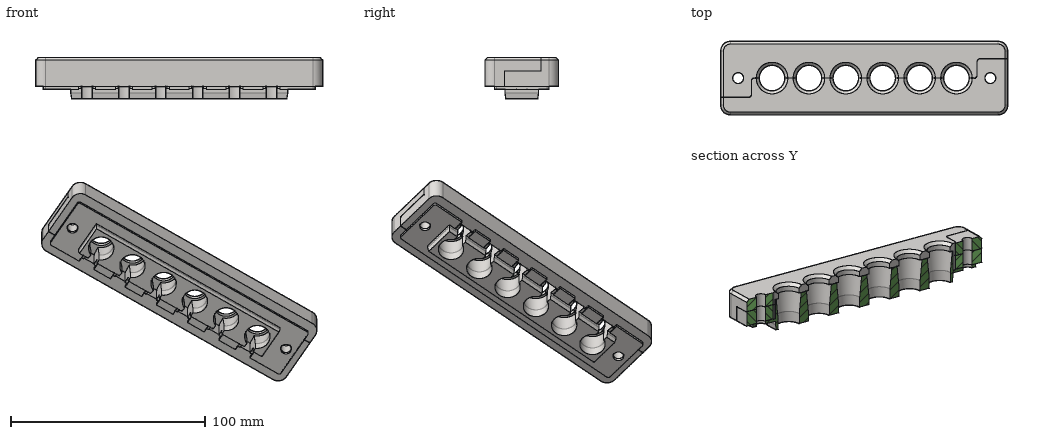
import cadquery as cq
import math

HOUSING_LENGTH = 148.0
HOUSING_WIDTH = 38.0
HOUSING_HEIGHT = 15.0
HOUSING_CORNER_RADIUS = 5.0
TOP_CHAMFER = 1.5

LAP_START = 58.2
LAP_DEPTH = 7.0
UPPER_LAP = 9.9
LOWER_LAP = 8.9
LAP_CORNER_RADIUS = 1.5
SEAM_GAP = 0.1

SCREW_HOLE_DIAMETER = 5.5
SCREW_HOLE_OFFSET = 65.0

BORE_COUNT = 6
BORE_SPAN = 95.0
BORE_RADIUS = 6.5
BORE_CHAMFER = 1.6
CHAMFER_CONE_ANGLE = 90

INSERT_TOP_DEPTH = 4.3
INSERT_LENGTH = 111.9
INSERT_WIDTH = 24.0
INSERT_DROP = 1.2
FLARE_RADIUS = 7.7
FLARE_MID_INSET = 0.1
FLARE_DROP = 0.7

FLANGE_LENGTH = 140.3
FLANGE_WIDTH = 28.3
FLANGE_THICKNESS = 1.6
FLANGE_CORNER_RADIUS = 1.2
WINDOW_WIDTH = 8.9
FOOT_WIDTH = 17.5
FOOT_DROP = 6.5
FOOT_TAPER_START = 3.4
FOOT_TAPER = 0.5

SLOT_INNER_HALF_WIDTH = 2.5
SLOT_OUTER_HALF_WIDTH = 3.1
SLOT_INNER_DISTANCE = 5.9

INSERT_TOP = HOUSING_HEIGHT - INSERT_TOP_DEPTH
LAP_LEVEL = HOUSING_HEIGHT - LAP_DEPTH
BORE_PITCH = BORE_SPAN / (BORE_COUNT - 1)
BORE_CENTRES = [(-BORE_SPAN / 2 + i * BORE_PITCH, 0) for i in range(BORE_COUNT)]


def centred_box(length, width, bottom, top):
    """Box centred on the Z axis between two levels."""
    return cq.Workplane("XY").workplane(offset=bottom).rect(length, width).extrude(top - bottom)


def screw_holes():
    """Two upright drillings through the housing and the flange."""
    return (
        cq.Workplane("XY")
        .workplane(offset=-FLANGE_THICKNESS)
        .pushPoints([(-SCREW_HOLE_OFFSET, 0), (SCREW_HOLE_OFFSET, 0)])
        .circle(SCREW_HOLE_DIAMETER / 2)
        .extrude(FLANGE_THICKNESS + HOUSING_HEIGHT)
    )


def housing_envelope():
    """Outer block with its holes and the pocket for the gasket, before splitting."""
    block = centred_box(HOUSING_LENGTH, HOUSING_WIDTH, 0, HOUSING_HEIGHT)
    block = block.edges("|Z").fillet(HOUSING_CORNER_RADIUS)
    block = block.faces(">Z").edges().chamfer(TOP_CHAMFER)
    block = (
        block.faces(">Z")
        .workplane(origin=(0, 0, HOUSING_HEIGHT))
        .pushPoints(BORE_CENTRES)
        .cskHole(2 * BORE_RADIUS, 2 * (BORE_RADIUS + BORE_CHAMFER), CHAMFER_CONE_ANGLE)
    )
    block = block.cut(screw_holes())
    return block.cut(centred_box(INSERT_LENGTH, INSERT_WIDTH, 0, INSERT_TOP))


def lap_region(left_lap, right_lap, bottom, top):
    """Space on the +Y side of a stepped seam that turns off the middle plane at both ends."""
    end = HOUSING_LENGTH / 2
    left_edge = left_lap + SEAM_GAP / 2
    right_edge = right_lap + SEAM_GAP / 2
    region = (
        cq.Workplane("XY")
        .workplane(offset=bottom)
        .moveTo(-end, left_edge)
        .lineTo(-LAP_START, left_edge)
        .lineTo(-LAP_START, SEAM_GAP / 2)
        .lineTo(LAP_START, SEAM_GAP / 2)
        .lineTo(LAP_START, right_edge)
        .lineTo(end, right_edge)
        .lineTo(end, HOUSING_WIDTH / 2)
        .lineTo(-end, HOUSING_WIDTH / 2)
        .close()
        .extrude(top - bottom)
    )
    reach_x = LAP_START + LAP_CORNER_RADIUS
    reach_y = UPPER_LAP + LAP_CORNER_RADIUS
    around_steps = cq.selectors.BoxSelector((-reach_x, -reach_y, bottom), (reach_x, reach_y, top))
    return region.edges("|Z").edges(around_steps).fillet(LAP_CORNER_RADIUS)


def housing_half():
    """The +Y half; turned half a turn about Z it is also the -Y half."""
    upper = lap_region(-UPPER_LAP, UPPER_LAP, LAP_LEVEL, HOUSING_HEIGHT)
    lower = lap_region(LOWER_LAP, -LOWER_LAP, 0, LAP_LEVEL)
    return housing_envelope().intersect(upper.union(lower))


def foot():
    """Straight block under the flange, tapering towards its lower end."""
    straight = centred_box(INSERT_LENGTH, FOOT_WIDTH, -FOOT_TAPER_START, 0)
    height = FOOT_DROP - FOOT_TAPER_START
    tip = (
        cq.Workplane("XY")
        .workplane(offset=-FOOT_TAPER_START)
        .rect(INSERT_LENGTH, FOOT_WIDTH)
        .extrude(-height, taper=math.degrees(math.atan2(FOOT_TAPER, height)))
    )
    return straight.union(tip)


def flange():
    """Plate under the housing with a window to the insert on the -Y side of every bore."""
    plate = centred_box(FLANGE_LENGTH, FLANGE_WIDTH, -FLANGE_THICKNESS, 0)
    plate = plate.edges("|Z").fillet(FLANGE_CORNER_RADIUS)
    depth = (FLANGE_WIDTH - FOOT_WIDTH) / 2
    for x, y in BORE_CENTRES:
        window = centred_box(WINDOW_WIDTH, depth, -FLANGE_THICKNESS, 0)
        plate = plate.cut(window.translate((x, y - (FLANGE_WIDTH - depth) / 2, 0)))
    return plate


def cable_passage():
    """Bore flaring upwards, opened by a slot that widens towards -Y."""
    flare_end = -FLARE_DROP
    mid = ((BORE_RADIUS + FLARE_RADIUS) / 2 - FLARE_MID_INSET, (INSERT_TOP + flare_end) / 2)
    bore = (
        cq.Workplane("XZ")
        .moveTo(0, -FOOT_DROP)
        .lineTo(BORE_RADIUS, -FOOT_DROP)
        .lineTo(BORE_RADIUS, flare_end)
        .threePointArc(mid, (FLARE_RADIUS, INSERT_TOP))
        .lineTo(0, INSERT_TOP)
        .close()
        .revolve(360, (0, 0, 0), (0, 1, 0))
    )
    slot = (
        cq.Workplane("XY")
        .workplane(offset=-FOOT_DROP)
        .moveTo(0, 0)
        .lineTo(SLOT_INNER_HALF_WIDTH, -SLOT_INNER_DISTANCE)
        .lineTo(SLOT_OUTER_HALF_WIDTH, -INSERT_WIDTH / 2)
        .lineTo(-SLOT_OUTER_HALF_WIDTH, -INSERT_WIDTH / 2)
        .lineTo(-SLOT_INNER_HALF_WIDTH, -SLOT_INNER_DISTANCE)
        .close()
        .extrude(FOOT_DROP + INSERT_TOP)
    )
    return bore.union(slot)


def cable_gasket():
    """Insert, flange, foot and window pads as one body with its cable passages."""
    insert = centred_box(INSERT_LENGTH, INSERT_WIDTH, 0, INSERT_TOP)
    body = insert.union(flange()).union(foot()).cut(screw_holes())
    for x, y in BORE_CENTRES:
        pad = centred_box(WINDOW_WIDTH, INSERT_WIDTH, -INSERT_DROP, 0).translate((x, y, 0))
        body = body.union(pad)
    passage = cable_passage()
    for x, y in BORE_CENTRES:
        body = body.cut(passage.translate((x, y, 0)))
    return body


half = housing_half()
housing_halves = [half.rotate((0, 0, 0), (0, 0, 1), angle) for angle in (0, 180)]
gasket = cable_gasket()

result = cq.Compound.makeCompound([*[h.val() for h in housing_halves], gasket.val()])